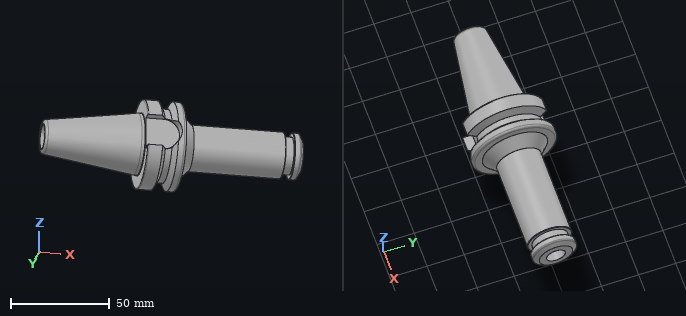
import cadquery as cq
import math


gauge_diameter = 31.75
taper_length = 48.56
taper_ratio = 7 / 24
small_end_fillet = 1.6

flange_diameter = 45.92
flange_start = 2.0
flange_end = 22.0
flange_front_fillet = 0.5
flange_back_fillet = 1.3
neck_fillet = 0.3

groove_center = 13.6
groove_depth = 4.0
groove_floor_width = 3.4
groove_flank_angle = 30.0

slot_width = 16.4
slot_end = 19.5
slot_floor_offset = 16.1

total_length = 134.06
stem_diameter = 24.0
cone_half_angle = 43.0
cone_end = 28.0
ring_groove_diameter = 19.43
ring_groove_start = 75.9
ring_groove_width = 4.5
ring_groove_chamfer = 0.3
end_face_diameter = 18.0
end_bevel_length = 1.8
end_fillet = 0.8

bore_diameter = 10.16
counterbore_diameter = 12.55
counterbore_depth = 6.0
mouth_diameter = 13.2

shank_end = -taper_length
stem_end = total_length - taper_length


def turned_body():
    gauge_radius = gauge_diameter / 2
    flange_radius = flange_diameter / 2
    stem_radius = stem_diameter / 2
    small_radius = gauge_radius - taper_length * taper_ratio / 2

    floor_half = groove_floor_width / 2
    mouth_half = floor_half + groove_depth * math.tan(math.radians(groove_flank_angle))
    floor_radius = flange_radius - groove_depth

    cone_radius = stem_radius + (cone_end - flange_end) * math.tan(math.radians(cone_half_angle))

    ring_groove_end = ring_groove_start + ring_groove_width
    ring_groove_radius = ring_groove_diameter / 2
    chamfered_radius = stem_radius - ring_groove_chamfer

    outline = [
        (shank_end, 0),
        (shank_end, small_radius),
        (0, gauge_radius),
        (flange_start, gauge_radius),
        (flange_start, flange_radius),
        (groove_center - mouth_half, flange_radius),
        (groove_center - floor_half, floor_radius),
        (groove_center + floor_half, floor_radius),
        (groove_center + mouth_half, flange_radius),
        (flange_end, flange_radius),
        (flange_end, cone_radius),
        (cone_end, stem_radius),
        (ring_groove_start - ring_groove_chamfer, stem_radius),
        (ring_groove_start, chamfered_radius),
        (ring_groove_start, ring_groove_radius),
        (ring_groove_end, ring_groove_radius),
        (ring_groove_end, chamfered_radius),
        (ring_groove_end + ring_groove_chamfer, stem_radius),
        (stem_end - end_bevel_length, stem_radius),
        (stem_end, end_face_diameter / 2),
        (stem_end, 0),
    ]
    body = cq.Workplane("XZ").polyline(outline).close().revolve(360, (0, 0, 0), (1, 0, 0))

    body = round_rim(body, shank_end, small_radius, small_end_fillet)
    body = round_rim(body, flange_start, flange_radius, flange_front_fillet)
    body = round_rim(body, flange_start, gauge_radius, neck_fillet)
    body = round_rim(body, flange_end, flange_radius, flange_back_fillet)
    return round_rim(body, stem_end - end_bevel_length, stem_radius, end_fillet)


def round_rim(body, x, radius, fillet):
    """Round the circular edge of the given radius that lies at x."""
    margin = 0.01
    rim = cq.selectors.BoxSelector(
        (x - margin, -radius - margin, -radius - margin),
        (x + margin, radius + margin, radius + margin),
        boundingbox=True,
    )
    outermost = cq.selectors.RadiusNthSelector(-1)
    return body.edges(rim).edges(outermost).fillet(fillet)


def drive_slot(side):
    """Round-ended cutter, open towards the taper, for the +Y (side = 1) or -Y (side = -1) slot."""
    radius = slot_width / 2
    arc_center = slot_end - radius
    plane = cq.Plane(origin=(0, side * slot_floor_offset, 0), xDir=(1, 0, 0), normal=(0, side, 0))
    return (
        cq.Workplane(plane)
        .moveTo(0, -radius)
        .lineTo(arc_center, -radius)
        .threePointArc((slot_end, 0), (arc_center, radius))
        .lineTo(0, radius)
        .close()
        .extrude(flange_diameter / 2)
    )


def stepped_bore():
    bore_radius = bore_diameter / 2
    counterbore_radius = counterbore_diameter / 2
    mouth_radius = mouth_diameter / 2
    shoulder = shank_end + counterbore_depth
    outline = [
        (shank_end, 0),
        (shank_end, mouth_radius),
        (shank_end + mouth_radius - counterbore_radius, counterbore_radius),
        (shoulder, counterbore_radius),
        (shoulder, bore_radius),
        (stem_end, bore_radius),
        (stem_end, 0),
    ]
    return cq.Workplane("XZ").polyline(outline).close().revolve(360, (0, 0, 0), (1, 0, 0))


result = turned_body()
for side in (1, -1):
    result = result.cut(drive_slot(side))
result = result.cut(stepped_bore())